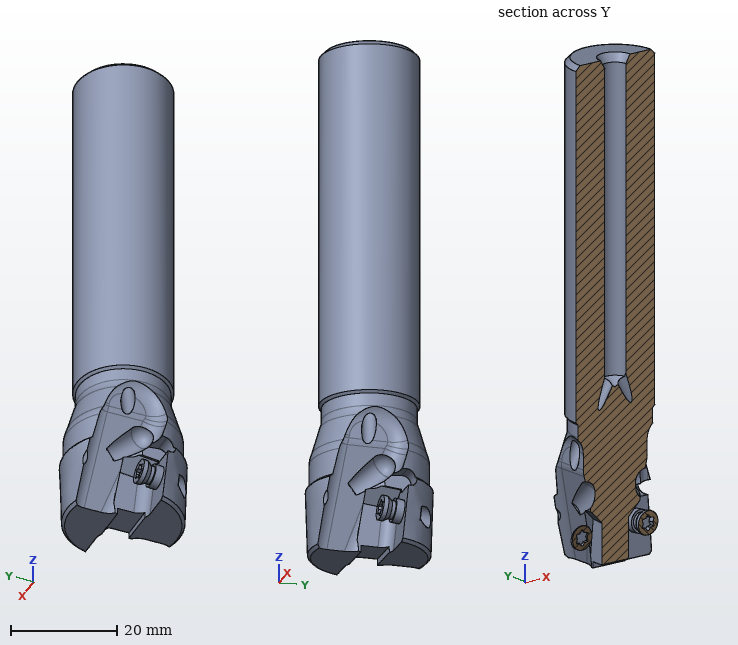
import cadquery as cq
import math

TOTAL_LENGTH = 100.3
SHANK_RADIUS = 9.5
SHANK_CHAMFER = 1.0
SHANK_BOTTOM = 30.3
SHANK_STEP_CHAMFER = 0.5
NECK_RADIUS = 9.0
NECK_BOTTOM = 27.3
COLLAR_RADIUS = 11.3
COLLAR_TOP = 18.5
SHOULDER_BLEND = 1.8
SHOULDER_STEP = 0.4
HEAD_RADIUS = 12.0
HEAD_TOP = 13.0
HEAD_TOP_BEVEL = 0.6
HEAD_BOTTOM_RADIUS = 11.6
HEAD_CHAMFER = 0.6

BORE_RADIUS = 2.5
BORE_MOUTH_RADIUS = 3.5
BORE_MOUTH_DEPTH = 1.7
BORE_BOTTOM = 37.1
BORE_TIP_ANGLE = 118.0
BRANCH_RADIUS = 1.4
BRANCH_START = cq.Vector(1.0, -0.6, 38.1)
BRANCH_END = cq.Vector(7.7, -2.5, 23.3)
BRANCH_OVERRUN = 10.0

FLUTE_BOTTOM_X = 2.3
FLUTE_FLOOR_X = 7.7
FLUTE_KINK_Z = 20.1
FLUTE_TOP = 28.1
FLUTE_END_Y = -2.6
FLUTE_END_RADIUS = 7.3
FLUTE_WALL_TILT = 18.0
FLUTE_BACK_TILT = 7.0
FLUTE_KINK_FILLET = 5.0
FLUTE_FILLET = 3.5

SEAT_TILT = 6.0
SEAT_Y = 3.0
SEAT_HEIGHT = 12.0
SEAT_WALL_X = 3.2
SEAT_CORNER = 3.0
SEAT_DEPTH = 6.6
SEAT_WALL_FILLET = 2.4

BOTTOM_SLOT_WIDTH = 5.2
BOTTOM_SLOT_HEIGHT = 1.2
RELIEF_RADIUS = 1.7
RELIEF_X = 6.6
RELIEF_OUTER = (4.4, 13.0)
RELIEF_INNER = (0.3, 12.6)
GULLY_RADIUS = 2.4
GULLY_X = 7.3
GULLY_LOW = (-4.8, 11.1)
GULLY_HIGH = (0.3, 15.9)

SCREW_X = 7.9
SCREW_UP = 7.0
HEAD_DISC_RADIUS = 2.4
HEAD_DISC_TOP = 4.1
HEAD_DISC_BOTTOM = 3.2
WAIST_TOP = 2.3
WAIST_RADIUS = 1.8
FLANGE_RADIUS = 2.3
FLANGE_HEIGHT = 1.6
THREAD_RADIUS = 1.5
THREAD_LENGTH = 3.5
EXIT_RADIUS = 1.9
DRIVE_POINTS = 6
DRIVE_OUTER = 1.6
DRIVE_INNER = 1.1
DRIVE_DEPTH = 1.5
ACCESS_RADIUS = 2.7
ACCESS_START = 5.0

REACH = 20.1


def both_sides(solid):
    """The solid and its copy turned half a turn about Z."""
    return [solid, solid.rotate((0, 0, 0), (0, 0, 1), 180)]


def seat_plane():
    """Local X along X, local Y up the seat, normal out of the seat toward -Y."""
    tilt = math.radians(SEAT_TILT)
    return cq.Plane(origin=(0, SEAT_Y, 0), xDir=(1, 0, 0), normal=(0, -math.cos(tilt), math.sin(tilt)))


def on_seat(height):
    return cq.Workplane(seat_plane()).workplane(offset=height)


def at_screw(height):
    return on_seat(height).center(SCREW_X, SCREW_UP)


def turned_holder():
    shoulder_top = NECK_BOTTOM - SHOULDER_BLEND
    shoulder_bottom = COLLAR_TOP + SHOULDER_BLEND
    neck_top = SHANK_BOTTOM - SHANK_STEP_CHAMFER
    profile = (
        cq.Workplane("XZ")
        .moveTo(0, 0)
        .lineTo(HEAD_BOTTOM_RADIUS - HEAD_CHAMFER, 0)
        .lineTo(HEAD_BOTTOM_RADIUS, HEAD_CHAMFER)
        .lineTo(HEAD_RADIUS, HEAD_TOP)
        .lineTo(COLLAR_RADIUS, HEAD_TOP + HEAD_TOP_BEVEL)
        .lineTo(COLLAR_RADIUS, COLLAR_TOP)
        .threePointArc(
            (COLLAR_RADIUS - SHOULDER_STEP / 4, COLLAR_TOP + SHOULDER_BLEND / 2),
            (COLLAR_RADIUS - SHOULDER_STEP, shoulder_bottom),
        )
        .lineTo(NECK_RADIUS + SHOULDER_STEP, shoulder_top)
        .threePointArc(
            (NECK_RADIUS + SHOULDER_STEP / 4, NECK_BOTTOM - SHOULDER_BLEND / 2),
            (NECK_RADIUS, NECK_BOTTOM),
        )
        .lineTo(NECK_RADIUS, neck_top)
        .lineTo(SHANK_RADIUS, SHANK_BOTTOM)
        .lineTo(SHANK_RADIUS, TOTAL_LENGTH - SHANK_CHAMFER)
        .lineTo(SHANK_RADIUS - SHANK_CHAMFER, TOTAL_LENGTH)
        .lineTo(0, TOTAL_LENGTH)
        .close()
    )
    return profile.revolve(360, (0, 0, 0), (0, 1, 0))


def coolant_bore():
    tip = BORE_RADIUS / math.tan(math.radians(BORE_TIP_ANGLE / 2))
    return (
        cq.Workplane("XZ")
        .moveTo(0, BORE_BOTTOM - tip)
        .lineTo(BORE_RADIUS, BORE_BOTTOM)
        .lineTo(BORE_RADIUS, TOTAL_LENGTH - BORE_MOUTH_DEPTH)
        .lineTo(BORE_MOUTH_RADIUS, TOTAL_LENGTH)
        .lineTo(0, TOTAL_LENGTH)
        .close()
        .revolve(360, (0, 0, 0), (0, 1, 0))
    )


def coolant_branch():
    run = BRANCH_END - BRANCH_START
    length = run.Length + BRANCH_OVERRUN
    return cq.Workplane(cq.Solid.makeCylinder(BRANCH_RADIUS, length, BRANCH_START, run))


def flute():
    """Bent floor swept along Y, trimmed to a round-ended outline swept along X."""
    floor = (
        cq.Workplane("XZ", origin=(0, REACH, 0))
        .moveTo(FLUTE_BOTTOM_X, 0)
        .lineTo(FLUTE_FLOOR_X, FLUTE_KINK_Z)
        .lineTo(FLUTE_FLOOR_X, 2 * REACH)
        .lineTo(REACH, 2 * REACH)
        .lineTo(REACH, 0)
        .close()
        .extrude(2 * REACH)
        .edges(cq.NearestToPointSelector((FLUTE_FLOOR_X, 0, FLUTE_KINK_Z)))
        .fillet(FLUTE_KINK_FILLET)
    )
    wall = math.radians(FLUTE_WALL_TILT)
    back = math.radians(FLUTE_BACK_TILT)
    end_z = FLUTE_TOP - FLUTE_END_RADIUS
    wall_y = FLUTE_END_Y + FLUTE_END_RADIUS * math.cos(wall)
    wall_z = end_z - FLUTE_END_RADIUS * math.sin(wall)
    back_y = FLUTE_END_Y - FLUTE_END_RADIUS * math.cos(back)
    back_z = end_z + FLUTE_END_RADIUS * math.sin(back)
    outline = (
        cq.Workplane("YZ")
        .moveTo(wall_y - wall_z * math.tan(wall), 0)
        .lineTo(wall_y, wall_z)
        .threePointArc((FLUTE_END_Y, FLUTE_TOP), (back_y, back_z))
        .lineTo(back_y - back_z * math.tan(back), 0)
        .close()
        .extrude(REACH)
    )
    return (
        floor.intersect(outline)
        .edges(cq.NearestToPointSelector((FLUTE_FLOOR_X, FLUTE_END_Y, FLUTE_TOP)))
        .fillet(FLUTE_FILLET)
    )


def seat_pocket():
    """Room for the insert: a straight wall on the inside and a cut-off upper corner."""
    return (
        on_seat(0)
        .moveTo(SEAT_WALL_X, -SEAT_CORNER)
        .lineTo(SEAT_WALL_X, SEAT_HEIGHT - SEAT_CORNER)
        .lineTo(SEAT_WALL_X + SEAT_CORNER, SEAT_HEIGHT)
        .lineTo(REACH, SEAT_HEIGHT)
        .lineTo(REACH, -SEAT_CORNER)
        .close()
        .extrude(SEAT_DEPTH)
        .faces("<X")
        .edges(">Y")
        .fillet(SEAT_WALL_FILLET)
    )


def seat_relief():
    """Round-ended slot along X above the seat."""
    (outer_y, outer_z), (inner_y, inner_z) = RELIEF_OUTER, RELIEF_INNER
    length = math.hypot(outer_y - inner_y, outer_z - inner_z)
    angle = math.degrees(math.atan2(outer_z - inner_z, outer_y - inner_y))
    return (
        cq.Workplane("YZ", origin=(RELIEF_X, 0, 0))
        .center((outer_y + inner_y) / 2, (outer_z + inner_z) / 2)
        .slot2D(length + 2 * RELIEF_RADIUS, 2 * RELIEF_RADIUS, angle)
        .extrude(REACH)
    )


def gully():
    """Ball-ended trough that joins the seat relief to the flute."""
    low = cq.Vector(GULLY_X, *GULLY_LOW)
    high = cq.Vector(GULLY_X, *GULLY_HIGH)
    trough = cq.Workplane(cq.Solid.makeCylinder(GULLY_RADIUS, (high - low).Length, low, high - low))
    return trough.union(cq.Workplane(origin=high.toTuple()).sphere(GULLY_RADIUS))


def screw_hole():
    hole = at_screw(0).circle(THREAD_RADIUS).extrude(-THREAD_LENGTH)
    wide_end = at_screw(-THREAD_LENGTH).circle(EXIT_RADIUS).extrude(-REACH)
    return hole.union(wide_end)


def screw_access():
    return at_screw(ACCESS_START).circle(ACCESS_RADIUS).extrude(REACH)


def bottom_slot():
    size = (2 * REACH, BOTTOM_SLOT_WIDTH, BOTTOM_SLOT_HEIGHT)
    return cq.Workplane().box(*size, centered=(True, True, False))


def make_holder():
    holder = turned_holder().cut(coolant_bore()).cut(bottom_slot())
    features = (
        coolant_branch(),
        flute(),
        seat_pocket(),
        seat_relief(),
        gully(),
        screw_hole(),
        screw_access(),
    )
    for feature in features:
        for cutter in both_sides(feature):
            holder = holder.cut(cutter)
    return holder


def drive_recess():
    points = []
    for i in range(2 * DRIVE_POINTS):
        radius = DRIVE_OUTER if i % 2 == 0 else DRIVE_INNER
        angle = math.pi / 2 + i * math.pi / DRIVE_POINTS
        points.append((radius * math.cos(angle), radius * math.sin(angle)))
    return at_screw(HEAD_DISC_TOP).polyline(points).close().extrude(-DRIVE_DEPTH)


def make_screw():
    """Screw with a flange on the seat, a waist, and a disc head with a star recess."""
    thread = at_screw(0).circle(THREAD_RADIUS).extrude(-THREAD_LENGTH)
    flange = at_screw(0).circle(FLANGE_RADIUS).extrude(FLANGE_HEIGHT)
    waist = at_screw(0).circle(WAIST_RADIUS).extrude(WAIST_TOP)
    neck = (
        at_screw(WAIST_TOP)
        .circle(WAIST_RADIUS)
        .workplane(offset=HEAD_DISC_BOTTOM - WAIST_TOP)
        .circle(HEAD_DISC_RADIUS)
        .loft()
    )
    disc = at_screw(HEAD_DISC_BOTTOM).circle(HEAD_DISC_RADIUS).extrude(HEAD_DISC_TOP - HEAD_DISC_BOTTOM)
    return thread.union(flange).union(waist).union(neck).union(disc).cut(drive_recess())


holder = make_holder()
screws = [screw.val() for screw in both_sides(make_screw())]
result = cq.Compound.makeCompound([holder.val(), *screws])